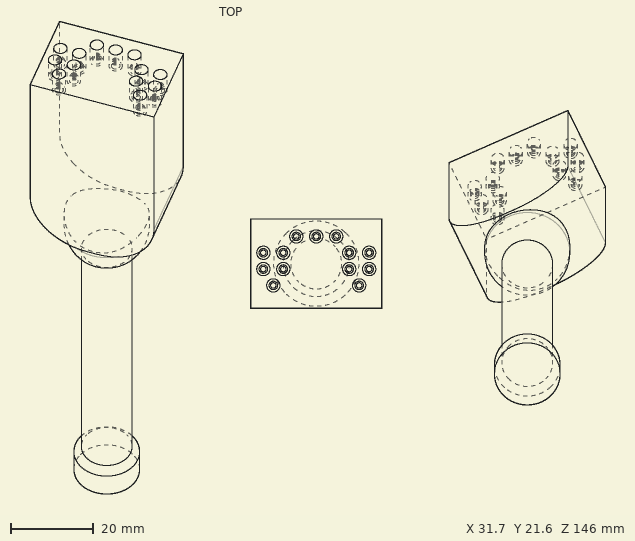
import cadquery as cq
import math

overall_height = 146
housing_width = 31.7
housing_depth = 21.6
housing_bottom_z = 90.5
housing_corner_radius = 14.5

socket_radius = 3.2 / 2
socket_depth = 5.8
pin_base_radius = 2.0 / 2
pin_tip_radius = 1.3 / 2
pin_shoulder_depth = 4.4
pin_cone_depth = 3.7
pin_point_depth = pin_cone_depth - pin_tip_radius

socket_pitch_x = 4.8
socket_pitch_y = 4.0
back_row_y = 6.5
cluster_x = 10.4

ferrule_radius = 15.9 / 2
ferrule_height = 6.5
stem_radius = 12.3 / 2
chamfer_size = ferrule_radius - stem_radius
ball_radius = 20.6 / 2
ball_center_z = 89.0
collar_blank_top_z = 102.2


def socket_points():
    """Three sockets in the back row, then a cluster of two pairs and a single on each side."""
    points = [(column * socket_pitch_x, back_row_y) for column in (-1, 0, 1)]
    for side in (-1, 1):
        center_x = side * cluster_x
        for row in (1, 2):
            row_y = back_row_y - row * socket_pitch_y
            points.append((center_x - socket_pitch_x / 2, row_y))
            points.append((center_x + socket_pitch_x / 2, row_y))
        points.append((center_x, back_row_y - 3 * socket_pitch_y))
    return points


def make_socket_void():
    """Round socket with its pin left standing, hanging below the origin."""
    return (
        cq.Workplane("XZ")
        .lineTo(socket_radius, 0)
        .lineTo(socket_radius, -socket_depth)
        .lineTo(pin_base_radius, -socket_depth)
        .lineTo(pin_base_radius, -pin_shoulder_depth)
        .lineTo(pin_tip_radius, -pin_shoulder_depth)
        .lineTo(pin_tip_radius, -pin_cone_depth)
        .lineTo(0, -pin_point_depth)
        .close()
        .revolve(360, (0, 0, 0), (0, 1, 0))
    )


def make_housing():
    block = (
        cq.Workplane("XY", origin=(0, 0, housing_bottom_z))
        .rect(housing_width, housing_depth)
        .extrude(overall_height - housing_bottom_z)
        .edges("|Y and <Z")
        .fillet(housing_corner_radius)
    )
    socket_void = make_socket_void()
    for x, y in socket_points():
        block = block.cut(socket_void.translate((x, y, overall_height)))
    return block


def make_handle(housing):
    """Turned handle whose collar is trimmed to seat against the rounded end of the housing."""
    stem_angle = math.acos(stem_radius / ball_radius)
    stem_joint_z = ball_center_z - ball_radius * math.sin(stem_angle)
    ball_arc_middle = (
        ball_radius * math.cos(stem_angle / 2),
        ball_center_z - ball_radius * math.sin(stem_angle / 2),
    )
    blank = (
        cq.Workplane("XZ")
        .lineTo(ferrule_radius, 0)
        .lineTo(ferrule_radius, ferrule_height)
        .lineTo(stem_radius, ferrule_height + chamfer_size)
        .lineTo(stem_radius, stem_joint_z)
        .threePointArc(ball_arc_middle, (ball_radius, ball_center_z))
        .lineTo(ball_radius, collar_blank_top_z)
        .lineTo(0, collar_blank_top_z)
        .close()
        .revolve(360, (0, 0, 0), (0, 1, 0))
    )
    return blank.cut(housing)


housing = make_housing()
handle = make_handle(housing)

result = cq.Compound.makeCompound([housing.solids().val(), handle.solids().val()])